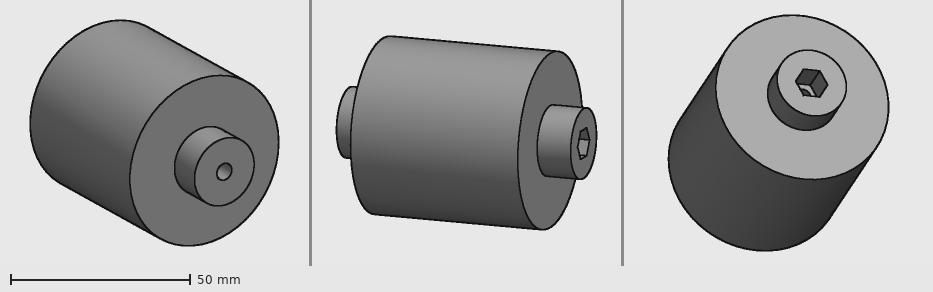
import cadquery as cq
import math

overall_length = 70.0
body_diameter = 50.0
body_length = 50.0
journal_diameter = 20.0
bore_diameter = 5.0
hex_across_flats = 8.0

hex_across_corners = hex_across_flats / math.cos(math.pi / 6)
journal_length = (overall_length - body_length) / 2


def cylinder_along_x(diameter, length):
    """Cylinder on the X axis, centred on the origin."""
    start = (-length / 2, 0, 0)
    return cq.Workplane("YZ", origin=start).circle(diameter / 2).extrude(length)


roller = cylinder_along_x(body_diameter, body_length)
roller = roller.union(cylinder_along_x(journal_diameter, overall_length))

roller = roller.cut(cylinder_along_x(bore_diameter, overall_length))

hex_socket = (
    cq.Workplane("YZ", origin=(-overall_length / 2, 0, 0))
    .polygon(6, hex_across_corners)
    .extrude(journal_length)
)

result = roller.cut(hex_socket)